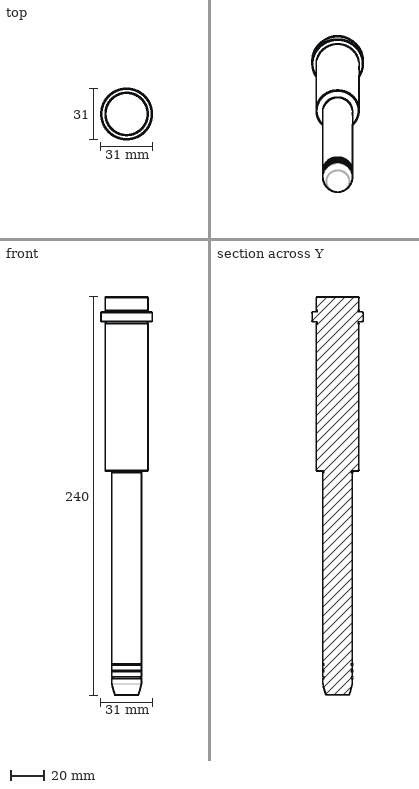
import cadquery as cq
import math

total_length = 240.0
edge_chamfer = 0.5

body_diameter = 26.0
body_length = 105.0
head_length = 9.0
collar_diameter = 31.0
collar_thickness = 6.1

shank_diameter = 18.0
neck_relief_width = 1.0
neck_relief_depth = 0.5

groove_radius = 0.5
ring_groove_count = 3
ring_groove_pitch = 4.0
lowest_ring_groove_height = 10.5

tip_diameter = 14.1
tip_length = 7.0
tip_bulge = 0.17
tip_fillet = 0.5

body_radius = body_diameter / 2
shank_radius = shank_diameter / 2
tip_radius = tip_diameter / 2
body_bottom = total_length - body_length
collar_top = total_length - head_length
collar_bottom = collar_top - collar_thickness


def cylinder(diameter, bottom, height):
    return cq.Workplane("XY").workplane(offset=bottom).circle(diameter / 2).extrude(height)


def revolve_about_axis(profile):
    return profile.revolve(360, (0, 0, 0), (0, 1, 0), clean=False)


def round_groove_cutter(surface_radius, centre_height):
    """Half-round ring, its section two quarter arcs meeting at the groove root."""
    arc_offset = groove_radius * math.sqrt(0.5)
    profile = (
        cq.Workplane("XZ")
        .moveTo(surface_radius, centre_height - groove_radius)
        .threePointArc(
            (surface_radius - arc_offset, centre_height - arc_offset),
            (surface_radius - groove_radius, centre_height),
        )
        .threePointArc(
            (surface_radius - arc_offset, centre_height + arc_offset),
            (surface_radius, centre_height + groove_radius),
        )
        .close()
    )
    return revolve_about_axis(profile)


def make_tip():
    middle = ((tip_radius + shank_radius) / 2 + tip_bulge, tip_length / 2)
    profile = (
        cq.Workplane("XZ")
        .lineTo(tip_radius, 0)
        .threePointArc(middle, (shank_radius, tip_length))
        .lineTo(0, tip_length)
        .close()
    )
    return revolve_about_axis(profile).faces("<Z").edges().fillet(tip_fillet)


def make_shank():
    neck_bottom = body_bottom - neck_relief_width
    shank = cylinder(shank_diameter, tip_length, neck_bottom - tip_length)
    for index in range(ring_groove_count):
        groove_height = lowest_ring_groove_height + index * ring_groove_pitch
        shank = shank.cut(round_groove_cutter(shank_radius, groove_height), clean=False)
    neck = cylinder(shank_diameter - 2 * neck_relief_depth, neck_bottom, neck_relief_width)
    return shank.union(neck, clean=False)


def make_body():
    body = cylinder(body_diameter, body_bottom, body_length)
    body = body.faces("<Z or >Z").edges().chamfer(edge_chamfer)
    for groove_height in (collar_top + groove_radius, collar_bottom - groove_radius):
        body = body.cut(round_groove_cutter(body_radius, groove_height), clean=False)
    return body


def make_collar():
    collar = cylinder(collar_diameter, collar_bottom, collar_thickness)
    return collar.faces("<Z or >Z").edges().chamfer(edge_chamfer)


result = make_tip()
for section in (make_shank(), make_body(), make_collar()):
    result = result.union(section, clean=False)